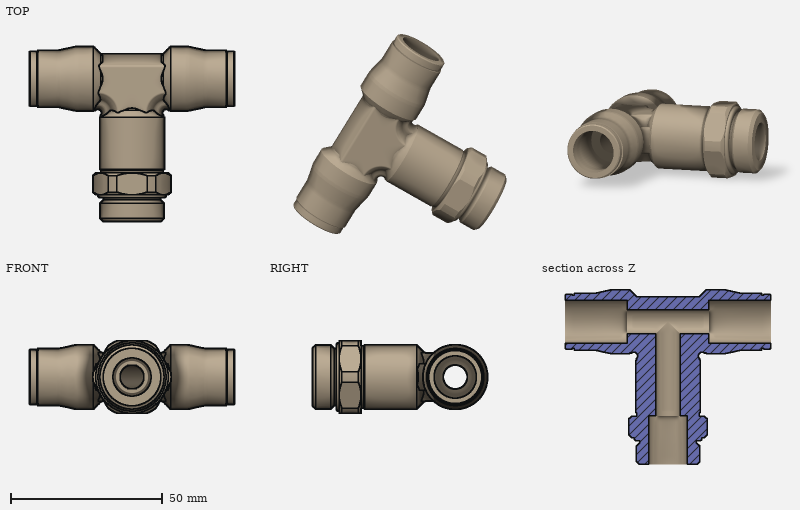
import cadquery as cq
import math


SHOULDER_R = 10.75
CONE_OUTER = 12.8
CONE_INNER = 10.35
CONE_INNER_R = SHOULDER_R - (CONE_OUTER - CONE_INNER)
CORE_FACE = 9.65
PASSAGE_R = 3.95

ARM_END = 34.0
COLLAR_R = 9.1
COLLAR_WIDTH = 2.5
COLLAR_CHAMFER = 0.35
GROOVE_R = 8.8
GROOVE_WIDTH = 0.4
BODY_R = 9.45
FLARE_OUTER = 24.3
FLARE_INNER = 18.35
KNEE_LENGTH = 0.6
SOCKET_R = 7.0
SOCKET_DEPTH = 20.4

BLOCK_HALF_HEIGHT = 7.95
BLOCK_REACH = 12.6
BLOCK_BACK = 8.3
BACK_EDGE = 4.3
BACK_SLOPE = 60.0
BACK_ROUND = 1.0
CORNER_CUT = 2.4

RECESS_CENTRE = 11.3
RECESS_RIM_R = 6.5
RECESS_FOOT_R = 4.3
WEB_EDGE_R = 2.6
WEB_WAIST_R = 1.15
WEB_HALF_HEIGHT = 4.4
RECESS_ROUND = 0.7

SLEEVE_END = 30.2
SLEEVE_CHAMFER = 0.35
NECK_R = SHOULDER_R - SLEEVE_CHAMFER
HEX_START = 31.15
HEX_END = 38.35
HEX_FLATS = 24.0
HEX_TURN = 30.0
HEX_CORNER_R = 13.0
HEX_CHAMFER = 0.9
SEAL_END = 39.4
SEAL_R = 11.3
SEAL_ROUND = 0.8
UNDERCUT_END = 40.0
UNDERCUT_R = 9.45
THREAD_START = 41.1
THREAD_R = 10.6
THREAD_CHAMFER = 1.1
STUD_END = 47.25
STUD_BORE_R = 6.3
STUD_BORE_END = HEX_START


def arm_body():
    """One socket, revolved about the X axis towards +X."""
    collar_start = ARM_END - COLLAR_WIDTH
    body_end = collar_start - GROOVE_WIDTH
    slope = math.atan2(SHOULDER_R - BODY_R, FLARE_OUTER - FLARE_INNER)
    run = KNEE_LENGTH * math.cos(slope)
    rise = KNEE_LENGTH * math.sin(slope)
    profile = (
        cq.Workplane("XY")
        .moveTo(0, 0)
        .lineTo(ARM_END, 0)
        .lineTo(ARM_END, COLLAR_R - COLLAR_CHAMFER)
        .lineTo(ARM_END - COLLAR_CHAMFER, COLLAR_R)
        .lineTo(collar_start, COLLAR_R)
        .lineTo(collar_start, GROOVE_R)
        .lineTo(body_end, GROOVE_R)
        .lineTo(body_end, BODY_R)
        .lineTo(FLARE_OUTER + KNEE_LENGTH, BODY_R)
        .tangentArcPoint((FLARE_OUTER - run, BODY_R + rise), relative=False)
        .lineTo(FLARE_INNER + run, SHOULDER_R - rise)
        .tangentArcPoint((FLARE_INNER - KNEE_LENGTH, SHOULDER_R), relative=False)
        .lineTo(CONE_OUTER, SHOULDER_R)
        .lineTo(CONE_INNER, CONE_INNER_R)
        .lineTo(CORE_FACE, BLOCK_HALF_HEIGHT)
        .lineTo(CORE_FACE, PASSAGE_R)
        .lineTo(0, PASSAGE_R)
        .close()
    )
    return profile.revolve(360, (0, 0, 0), (1, 0, 0))


def branch_body():
    """Sleeve, neck, seal ring and stud, revolved about the Y axis towards -Y."""
    outline = [
        (0, 0),
        (PASSAGE_R, 0),
        (PASSAGE_R, CORE_FACE),
        (BLOCK_HALF_HEIGHT, CORE_FACE),
        (CONE_INNER_R, CONE_INNER),
        (SHOULDER_R, CONE_OUTER),
        (SHOULDER_R, SLEEVE_END - SLEEVE_CHAMFER),
        (NECK_R, SLEEVE_END),
        (NECK_R, HEX_END),
        (UNDERCUT_R, HEX_END),
        (UNDERCUT_R, UNDERCUT_END),
        (THREAD_R, THREAD_START),
        (THREAD_R, STUD_END - THREAD_CHAMFER),
        (THREAD_R - THREAD_CHAMFER, STUD_END),
        (0, STUD_END),
    ]
    body = (
        cq.Workplane("XY")
        .polyline([(radius, -distance) for radius, distance in outline])
        .close()
        .revolve(360, (0, 0, 0), (0, 1, 0))
    )
    seal = (
        cq.Workplane("XZ", origin=(0, -HEX_END, 0))
        .circle(SEAL_R)
        .extrude(SEAL_END - HEX_END)
        .edges("<Y")
        .fillet(SEAL_ROUND)
    )
    return body.union(seal)


def hexagon():
    """Hexagon with two horizontal flats, its corners turned down and chamfered at both ends."""
    width = HEX_END - HEX_START
    prism = (
        cq.Workplane("XZ", origin=(0, -HEX_START, 0))
        .transformed(rotate=(0, 0, HEX_TURN))
        .polygon(6, HEX_FLATS, circumscribed=True)
        .extrude(width)
    )
    turned = (
        cq.Workplane("XZ", origin=(0, -HEX_START, 0))
        .circle(HEX_CORNER_R)
        .extrude(width)
        .faces("<Y or >Y")
        .chamfer(HEX_CHAMFER, HEX_CORNER_R - HEX_FLATS / 2)
    )
    return prism.intersect(turned)


def corner_recess(side):
    """Cutter for one inner corner: a wide flared step around a waisted web notch."""
    above = BLOCK_HALF_HEIGHT
    web = WEB_HALF_HEIGHT
    return (
        cq.Workplane("XZ", origin=(side * RECESS_CENTRE, -RECESS_CENTRE, 0))
        .moveTo(0, -above)
        .lineTo(RECESS_RIM_R, -above)
        .lineTo(RECESS_FOOT_R, -web)
        .lineTo(WEB_EDGE_R, -web)
        .threePointArc((WEB_WAIST_R, 0), (WEB_EDGE_R, web))
        .lineTo(RECESS_FOOT_R, web)
        .lineTo(RECESS_RIM_R, above)
        .lineTo(0, above)
        .close()
        .revolve(360, (0, 0, 0), (0, 1, 0))
    )


def central_block():
    """Flat block with a roof-shaped rear and a recess in both inner corners."""
    back_drop = (BLOCK_BACK - BACK_EDGE) * math.tan(math.radians(BACK_SLOPE))
    back_half_height = BLOCK_HALF_HEIGHT - back_drop
    section = [
        (-BLOCK_REACH, -BLOCK_HALF_HEIGHT),
        (BACK_EDGE, -BLOCK_HALF_HEIGHT),
        (BLOCK_BACK, -back_half_height),
        (BLOCK_BACK, back_half_height),
        (BACK_EDGE, BLOCK_HALF_HEIGHT),
        (-BLOCK_REACH, BLOCK_HALF_HEIGHT),
    ]
    block = (
        cq.Workplane("YZ", origin=(-BLOCK_REACH, 0, 0))
        .polyline(section)
        .close()
        .extrude(2 * BLOCK_REACH)
        .edges("|X and (>Z or <Z) and (not <Y)")
        .fillet(BACK_ROUND)
        .edges("|Z and <Y")
        .chamfer(CORNER_CUT)
    )
    for side in (-1, 1):
        block = block.cut(corner_recess(side))
    recess_edges = cq.selectors.BoxSelector(
        (-2 * BLOCK_REACH, -2 * BLOCK_REACH, -BLOCK_REACH),
        (2 * BLOCK_REACH, 0, BLOCK_REACH),
    )
    return block.edges("%CIRCLE").edges(recess_edges).fillet(RECESS_ROUND)


def bores():
    """Passages through the three legs with the wider socket and stud bores."""
    through = cq.Workplane("YZ", origin=(-ARM_END, 0, 0)).circle(PASSAGE_R).extrude(2 * ARM_END)
    stud_passage = cq.Workplane("XZ").circle(PASSAGE_R).extrude(STUD_END)
    stud_bore = (
        cq.Workplane("XZ", origin=(0, -STUD_BORE_END, 0))
        .circle(STUD_BORE_R)
        .extrude(STUD_END - STUD_BORE_END)
    )
    tool = through.union(stud_passage).union(stud_bore)
    for side in (-1, 1):
        socket = (
            cq.Workplane("YZ", origin=(side * ARM_END, 0, 0))
            .circle(SOCKET_R)
            .extrude(-side * SOCKET_DEPTH)
        )
        tool = tool.union(socket)
    return tool


arm = arm_body()
result = (
    central_block()
    .union(arm)
    .union(arm.mirror("YZ"))
    .union(branch_body())
    .union(hexagon())
    .cut(bores())
)